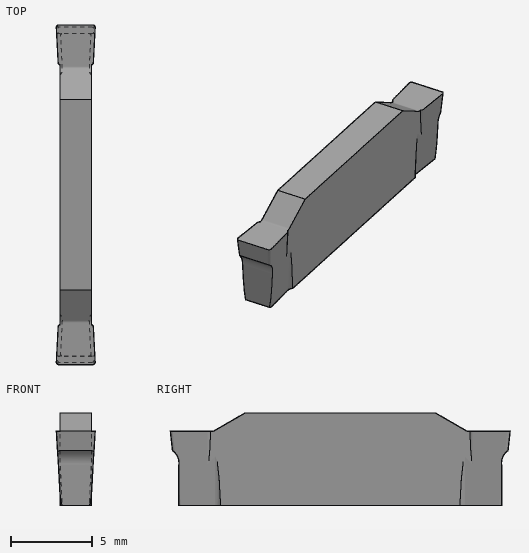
import cadquery as cq
import math

length = 20.8
head_width = 2.4
body_width = 1.95
height = 5.68
head_height = 4.55

crown_half_length = 5.82
ramp_angle = math.radians(30)
ramp_blend_radius = 0.27

side_taper = 0.052
side_draft = 0.053
end_clearance = 0.11
corner_radius = 0.17

shoulder_start = 2.29
shoulder_radius = 0.2
recess_end = 2.77
recess_radius = 0.4
body_start = 2.18

relief_depth = 0.52
relief_height = 2.5
nose_bottom = 3.37
relief_arc_mid = (0.37, 3.12)

half_length = length / 2
half_head = head_width / 2
half_body = body_width / 2
margin = 0.42
round_mid = math.sqrt(0.5)


def side_x(inward, level):
    """Half width of the head at a distance inward from the end and a height above the base."""
    taper = side_taper * (inward - corner_radius)
    draft = side_draft * (head_height - level)
    return half_head - taper - draft


def drafted_solid(make_outline):
    """Loft between an outline at the base and the same outline at the head top."""
    base = make_outline(0).val()
    top = make_outline(head_height).val()
    return cq.Workplane(obj=cq.Solid.makeLoft([base, top], True))


def mirrored(solid, plane):
    """Join a solid with its reflection in a plane through the origin."""
    return solid.union(solid.mirror(plane))


def make_body():
    """Extruded side profile of the body, with a ramp down to each head."""
    ramp_length = (height - head_height) / math.tan(ramp_angle)
    body_end = half_length - body_start
    ramp_foot = crown_half_length + ramp_length
    profile = [
        (-body_end, 0),
        (body_end, 0),
        (body_end, head_height),
        (ramp_foot, head_height),
        (crown_half_length, height),
        (-crown_half_length, height),
        (-ramp_foot, head_height),
        (-body_end, head_height),
    ]
    body = cq.Workplane("YZ").polyline(profile).close().extrude(half_body, both=True)
    for sign in (-1, 1):
        foot = cq.selectors.NearestToPointSelector((0, sign * ramp_foot, head_height))
        body = body.edges("|X").edges(foot).fillet(ramp_blend_radius)
    return body


def end_y_at(level):
    """Position of the +Y end face at a height above the base."""
    return half_length - end_clearance * (head_height - level)


def head_blank_outline(level):
    """+X half of the +Y head at one height, before its side is trimmed, with its shoulder."""
    end_y = end_y_at(level)
    shoulder_y = half_length - shoulder_start
    shoulder_x = side_x(shoulder_start, level)
    shoulder_end_x = shoulder_x - shoulder_radius
    shoulder_end_y = shoulder_y - shoulder_radius
    blank_x = half_head + margin
    return (
        cq.Workplane("XY", origin=(0, 0, level))
        .moveTo(0, end_y)
        .lineTo(blank_x, end_y)
        .lineTo(blank_x, shoulder_y)
        .lineTo(shoulder_x, shoulder_y)
        .threePointArc(
            (shoulder_end_x + shoulder_radius * round_mid, shoulder_y - shoulder_radius * round_mid),
            (shoulder_end_x, shoulder_end_y),
        )
        .lineTo(0, shoulder_end_y)
        .close()
    )


def side_trim_outline(level):
    """Space beside the +X, +Y head at one height: rounded corner, side, then recess arc."""
    end_y = end_y_at(level)
    side_start_x = side_x(half_length - end_y + corner_radius, level)
    corner_x = side_start_x - corner_radius
    recess_y = half_length - recess_end
    recess_x = side_x(recess_end, level)
    recess_out_x = recess_x + recess_radius
    outer_x = half_head + 2 * margin
    return (
        cq.Workplane("XY", origin=(0, 0, level))
        .moveTo(corner_x, end_y)
        .threePointArc(
            (corner_x + corner_radius * round_mid, end_y - corner_radius * (1 - round_mid)),
            (side_start_x, end_y - corner_radius),
        )
        .lineTo(recess_x, recess_y)
        .threePointArc(
            (recess_out_x - recess_radius * round_mid, recess_y - recess_radius * round_mid),
            (recess_out_x, recess_y - recess_radius),
        )
        .lineTo(outer_x, recess_y - recess_radius)
        .lineTo(outer_x, end_y + margin)
        .lineTo(corner_x, end_y + margin)
        .close()
    )


def make_nose_relief():
    """Cutter that sets the lower part of the +Y end back below the nose."""
    mid_inward, mid_height = relief_arc_mid
    nose_y = end_y_at(nose_bottom)
    relief_y = half_length - relief_depth
    return (
        cq.Workplane("YZ")
        .moveTo(relief_y, -margin)
        .lineTo(relief_y, relief_height)
        .threePointArc((half_length - mid_inward, mid_height), (nose_y, nose_bottom))
        .lineTo(half_length + margin, nose_bottom)
        .lineTo(half_length + margin, -margin)
        .close()
        .extrude(head_width, both=True)
    )


head_blank = mirrored(drafted_solid(head_blank_outline), "YZ")
side_trims = mirrored(drafted_solid(side_trim_outline), "YZ")
end_cutter = side_trims.union(make_nose_relief())

blank = make_body().union(mirrored(head_blank, "XZ"))
result = blank.cut(end_cutter).cut(end_cutter.mirror("XZ"))